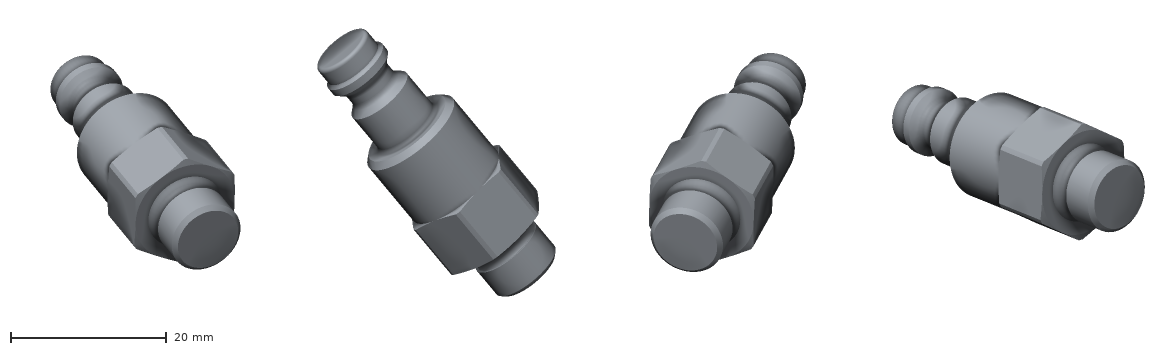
import cadquery as cq
import math

length = 40.0

tip_radius = 8.1 / 2
tip_round = 0.5
tip_end = 2.6

stem_radius = 9.0 / 2
collar_start = 3.05
collar_end = 4.1
stem_start = 8.25

groove_radius = 6.7 / 2
groove_blend = 1.0

body_radius = 14.0 / 2
body_start = 14.1
body_chamfer = 0.8
stem_fillet = 0.5

hex_start = 24.45
hex_end = 32.95
hex_across_flats = 14.0
hex_corner_diameter = 15.8
hex_tilt = -1.5
hex_chamfer_angle = 15.0
hex_chamfer_radius = 7.0

thread_radius = 9.7 / 2
thread_start = 35.2
thread_chamfer = 0.6
neck_radius = 4.2
neck_arc_start = 33.65

SIN_45 = math.sin(math.radians(45))
SIN_22 = math.sin(math.radians(22.5))
COS_22 = math.cos(math.radians(22.5))


def make_turned_part():
    """Revolve the half profile of all the round sections about X."""
    blend_length = groove_blend * SIN_45
    blend_radius = groove_radius + groove_blend * (1 - SIN_45)
    flank_length = stem_radius - blend_radius
    blend_mid_length = groove_blend * (SIN_45 - SIN_22)
    blend_mid_radius = groove_radius + groove_blend * (1 - COS_22)
    left_flank_end = collar_end + flank_length
    right_flank_start = stem_start - flank_length

    neck_half_length = (thread_start - neck_arc_start) / 2
    neck_arc = neck_half_length / SIN_45
    neck_edge_radius = neck_radius + neck_arc * (1 - SIN_45)
    neck_cone_radius = neck_edge_radius + neck_arc_start - hex_end

    round_mid = tip_round * (1 - SIN_45)
    fillet_mid = stem_fillet * (1 - SIN_45)

    profile = (
        cq.Workplane("XY")
        .lineTo(0, tip_radius - tip_round)
        .threePointArc((round_mid, tip_radius - round_mid), (tip_round, tip_radius))
        .lineTo(tip_end, tip_radius)
        .lineTo(collar_start, stem_radius)
        .lineTo(collar_end, stem_radius)
        .lineTo(left_flank_end, blend_radius)
        .threePointArc(
            (left_flank_end + blend_mid_length, blend_mid_radius),
            (left_flank_end + blend_length, groove_radius),
        )
        .lineTo(right_flank_start - blend_length, groove_radius)
        .threePointArc(
            (right_flank_start - blend_mid_length, blend_mid_radius),
            (right_flank_start, blend_radius),
        )
        .lineTo(stem_start, stem_radius)
        .lineTo(body_start - stem_fillet, stem_radius)
        .threePointArc(
            (body_start - fillet_mid, stem_radius + fillet_mid),
            (body_start, stem_radius + stem_fillet),
        )
        .lineTo(body_start, body_radius - body_chamfer)
        .lineTo(body_start + body_chamfer, body_radius)
        .lineTo(hex_end, body_radius)
        .lineTo(hex_end, neck_cone_radius)
        .lineTo(neck_arc_start, neck_edge_radius)
        .threePointArc(
            (neck_arc_start + neck_half_length, neck_radius),
            (thread_start, neck_edge_radius),
        )
        .lineTo(thread_start, thread_radius)
        .lineTo(length - thread_chamfer, thread_radius)
        .lineTo(length, thread_radius - thread_chamfer)
        .lineTo(length, 0)
        .close()
    )
    return profile.revolve(360, (0, 0, 0), (1, 0, 0))


def make_hexagon():
    """Hexagon with corners cut to a cylinder and both ends chamfered by cones."""
    corner_radius = hex_corner_diameter / 2
    chamfer_rise = corner_radius - hex_chamfer_radius
    chamfer_length = chamfer_rise * math.tan(math.radians(hex_chamfer_angle))
    sharp_diameter = hex_across_flats / math.cos(math.radians(30))

    prism = (
        cq.Workplane("YZ", origin=(hex_start, 0, 0))
        .transformed(rotate=(0, 0, 90 + hex_tilt))
        .polygon(6, sharp_diameter)
        .extrude(hex_end - hex_start)
    )
    envelope = (
        cq.Workplane("XY")
        .moveTo(hex_start, 0)
        .lineTo(hex_start, hex_chamfer_radius)
        .lineTo(hex_start + chamfer_length, corner_radius)
        .lineTo(hex_end - chamfer_length, corner_radius)
        .lineTo(hex_end, hex_chamfer_radius)
        .lineTo(hex_end, 0)
        .close()
        .revolve(360, (0, 0, 0), (1, 0, 0))
    )
    return prism.intersect(envelope)


result = make_turned_part().union(make_hexagon())